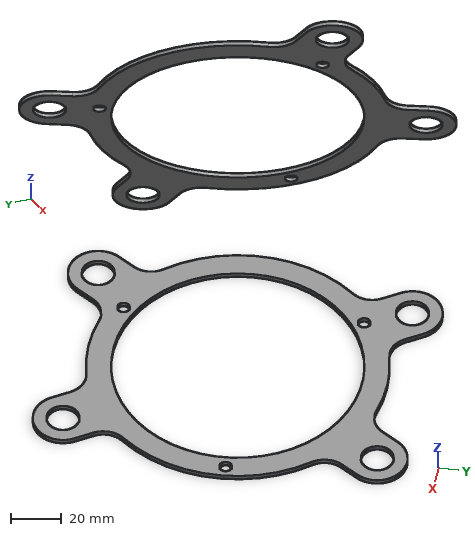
import cadquery as cq
import math

width = 120.0
length = 150.0
thickness = 2.0
bore_diameter = 100.0
lug_radius = 12.0
lug_spacing_x = 80.0
lug_hole_diameter = 13.0
neck_fillet = 10.0
pin_hole_diameter = 5.0
pin_circle_radius = 55.0
pin_count = 3
pin_start_angle = 5.0

ring_radius = width / 2
lug_x = lug_spacing_x / 2
lug_y = length / 2 - lug_radius
lug_distance = math.hypot(lug_x, lug_y)
lug_angle = math.degrees(math.atan2(lug_y, lug_x))
lug_centers = [(sx * lug_x, sy * lug_y) for sx in (-1, 1) for sy in (-1, 1)]


def radial_arm(angle):
    """Parallel-sided arm with a round end, running through the center to two opposite lugs."""
    return (
        cq.Workplane("XY")
        .transformed(rotate=(0, 0, angle))
        .slot2D(2 * (lug_distance + lug_radius), 2 * lug_radius)
        .extrude(thickness)
    )


def on_ring_rim(edge):
    """True where an arm side meets the outer rim of the ring."""
    center = edge.Center()
    return math.isclose(math.hypot(center.x, center.y), ring_radius, abs_tol=0.001)


body = cq.Workplane("XY").circle(ring_radius).extrude(thickness)
for angle in (lug_angle, -lug_angle):
    body = body.union(radial_arm(angle))
body = body.edges("|Z").filter(on_ring_rim).fillet(neck_fillet)

bore = cq.Workplane("XY").circle(bore_diameter / 2).extrude(thickness)
lug_holes = cq.Workplane("XY").pushPoints(lug_centers).circle(lug_hole_diameter / 2).extrude(thickness)
pin_holes = (
    cq.Workplane("XY")
    .polarArray(pin_circle_radius, pin_start_angle, 360, pin_count)
    .circle(pin_hole_diameter / 2)
    .extrude(thickness)
)

result = body.cut(bore).cut(lug_holes).cut(pin_holes)